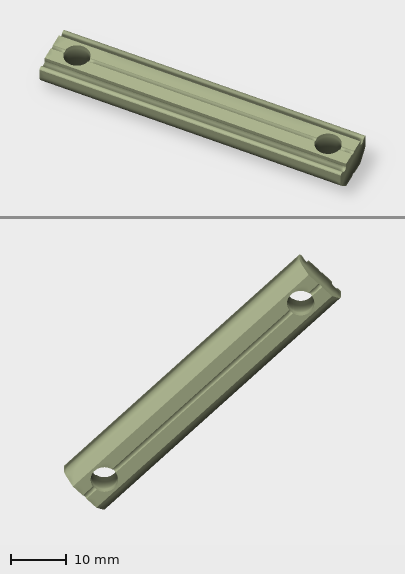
import cadquery as cq
import math

length = 60.0
width = 10.6
height = 6.0

land_width = 6.0
side_bottom = 3.34
lip_height = 5.4
shoulder_height = 5.13
groove_floor = 4.7
lip_inner = 4.28
flank_angle = 45.0

centre_groove_width = 0.9
centre_groove_depth = 0.3

hole_diameter = 4.92
hole_spacing = 50.0

half_width = width / 2
half_land = land_width / 2
half_groove = centre_groove_width / 2

bevel_slope = math.tan(math.radians(flank_angle))
blend_turn = 90 - flank_angle
blend_tangent = side_bottom - (half_width - half_land) * bevel_slope
blend_radius = blend_tangent / math.tan(math.radians(blend_turn / 2))

lip_crest = ((lip_inner + half_width) / 2, lip_height)
groove_low = ((half_land + lip_inner) / 2, groove_floor)


def blend_point(angle):
    """Point of the blend circle, angle in degrees below the horizontal +Y direction."""
    turn = math.radians(angle)
    y = half_width - blend_radius * (1 - math.cos(turn))
    z = side_bottom - blend_radius * math.sin(turn)
    return (y, z)


def half_section():
    """Closed outline of the +Y half of the cross-section."""
    return (
        cq.Workplane("YZ", origin=(-length / 2, 0, 0))
        .moveTo(0, 0)
        .lineTo(half_land, 0)
        .lineTo(*blend_point(blend_turn))
        .threePointArc(blend_point(blend_turn / 2), (half_width, side_bottom))
        .lineTo(half_width, shoulder_height)
        .threePointArc(lip_crest, (lip_inner, shoulder_height))
        .threePointArc(groove_low, (half_land, shoulder_height))
        .lineTo(half_land, height)
        .lineTo(0, height)
        .close()
    )


def bar():
    """Symmetric bar extruded along X."""
    half = half_section().extrude(length)
    return half.union(half.mirror("XZ")).clean()


def centre_groove(face_z, inward):
    """Cutter for the round groove along the middle of a face; inward is +1 or -1 in Z."""
    return (
        cq.Workplane("YZ", origin=(-length / 2, 0, face_z))
        .moveTo(-half_groove, 0)
        .threePointArc((0, inward * centre_groove_depth), (half_groove, 0))
        .close()
        .extrude(length)
    )


def holes():
    """Cutter for the two vertical through holes."""
    return (
        cq.Workplane("XY")
        .rarray(hole_spacing, 1, 2, 1)
        .circle(hole_diameter / 2)
        .extrude(height)
    )


result = (
    bar()
    .cut(centre_groove(height, -1))
    .cut(centre_groove(0, 1))
    .cut(holes())
)